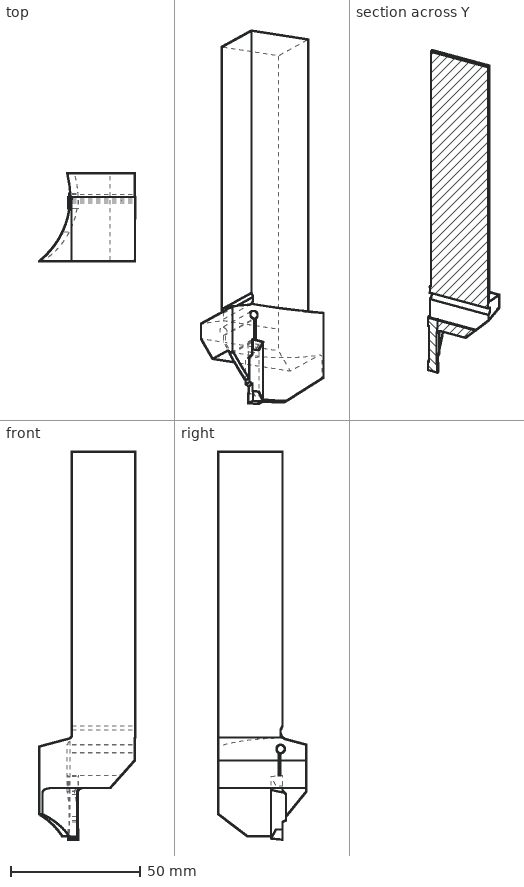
import cadquery as cq
import math

total_height = 150.0

shank_left = 12.6
shank_depth = 24.9
right_side = 37.0
shank_flare = 0.2

head_depth = 34.0
head_bottom = 20.0
roof_height = 39.5
roof_slope = math.tan(math.radians(15))
roof_fillet = 1.4
back_fillet = 2.7
right_chamfer_width = 9.6
right_chamfer_height = 10.8

undercut_depth = 0.8
undercut_top = 44.0
undercut_knee = 42.5

blade_vertex_y = 24.9
hollow_vertex_x = 12.0
arc_end_y = 32.2
flat_inset = 0.3
blade_front_thickness = 1.4
blade_vertex_thickness = 3.0
blade_bottom = 1.4
blade_fillet = 1.6
select_margin = 0.2
front_slope_depth = 11.2
front_slope_top = 9.9
back_slope_bottom = 9.0
back_slope_top = 18.6

hole_y = 24.2
hole_z = 35.1
hole_diameter = 3.2
slit_y = 23.7
slit_width = 0.8

insert_front = 20.4
insert_back = 24.9
insert_height = 24.9
insert_hump = 1.4
hump_back = insert_back + insert_hump
hump_bottom = 7.5
hump_top = 17.5
hump_ramp_low = 0.6
hump_ramp_high = 1.4
edge_left = 11.2
edge_right = 15.3
body_side_relief = 0.3
cutting_end_length = 4.0
cutting_end_depth = 2.5
end_relief = 0.5


def arc_radius(sagitta, half_chord):
    return (half_chord**2 + sagitta**2) / (2 * sagitta)


def arc_x(vertex_x, radius, y):
    """X of a blade side that bulges to vertex_x at blade_vertex_y."""
    return vertex_x - radius + math.sqrt(radius**2 - (y - blade_vertex_y) ** 2)


hollow_radius = arc_radius(hollow_vertex_x, blade_vertex_y)
flat_x = arc_x(hollow_vertex_x, hollow_radius, arc_end_y)
outer_vertex_x = hollow_vertex_x + blade_vertex_thickness
outer_radius = arc_radius(outer_vertex_x - blade_front_thickness, blade_vertex_y)
outer_back_x = arc_x(outer_vertex_x, outer_radius, head_depth)


def extrude_along_x(points, start, end):
    return cq.Workplane("YZ").workplane(offset=start).polyline(points).close().extrude(end - start)


def make_shank():
    outline = [
        (shank_left, 0),
        (right_side, 0),
        (right_side + shank_flare, shank_depth),
        (shank_left, shank_depth),
    ]
    shank = (
        cq.Workplane("XY").workplane(offset=roof_height).polyline(outline).close()
        .extrude(total_height - roof_height)
    )
    knee_y = shank_depth - undercut_depth
    undercut = [
        (shank_depth, undercut_top),
        (knee_y, undercut_knee),
        (knee_y, roof_height),
        (shank_depth, roof_height),
    ]
    return shank.cut(extrude_along_x(undercut, 0, right_side + shank_flare))


def make_head_block():
    """Head seen along Y, with a roof sloping to the left and another sloping to the back."""
    block = (
        cq.Workplane("XZ")
        .moveTo(0, head_bottom)
        .lineTo(right_side - right_chamfer_width, head_bottom)
        .lineTo(right_side, head_bottom + right_chamfer_height)
        .lineTo(right_side, roof_height)
        .lineTo(shank_left, roof_height)
        .lineTo(0, roof_height - shank_left * roof_slope)
        .close()
        .extrude(-head_depth)
    )
    back_roof_start = shank_depth - undercut_depth
    back_drop = (head_depth - back_roof_start) * roof_slope
    above_back_roof = [
        (back_roof_start, roof_height),
        (head_depth, roof_height),
        (head_depth, roof_height - back_drop),
    ]
    return block.cut(extrude_along_x(above_back_roof, 0, right_side))


def make_blade():
    return (
        cq.Workplane("XY")
        .lineTo(blade_front_thickness, 0)
        .threePointArc(
            (arc_x(outer_vertex_x, outer_radius, blade_vertex_y / 2), blade_vertex_y / 2),
            (outer_back_x, head_depth),
        )
        .lineTo(0, head_depth)
        .close()
        .extrude(head_bottom)
    )


def make_hollow():
    """Space left of the concave blade side, over the full height of the head."""
    return (
        cq.Workplane("XY")
        .threePointArc(
            (arc_x(hollow_vertex_x, hollow_radius, blade_vertex_y / 2), blade_vertex_y / 2),
            (flat_x, arc_end_y),
        )
        .lineTo(flat_x - flat_inset, head_depth)
        .lineTo(0, head_depth)
        .close()
        .extrude(roof_height)
    )


def make_side_outline():
    """Full-width prism that trims the lower end of the holder."""
    outline = [
        (0, total_height),
        (0, front_slope_top),
        (front_slope_depth, blade_bottom),
        (insert_front, blade_bottom),
        (insert_front, back_slope_bottom),
        (hump_back, back_slope_bottom),
        (head_depth, back_slope_top),
        (head_depth, total_height),
    ]
    return extrude_along_x(outline, 0, right_side + shank_flare)


def make_slit():
    hole = cq.Workplane("YZ").center(hole_y, hole_z).circle(hole_diameter / 2).extrude(right_side)
    slit_height = hole_z - insert_height
    slit = (
        cq.Workplane("YZ").center(slit_y, insert_height + slit_height / 2)
        .rect(slit_width, slit_height).extrude(right_side)
    )
    return hole.union(slit)


def make_insert():
    outline = [
        (insert_front, end_relief),
        (insert_back, 0),
        (insert_back, hump_bottom - hump_ramp_low),
        (hump_back, hump_bottom),
        (hump_back, hump_top),
        (insert_back, hump_top + hump_ramp_high),
        (insert_back, insert_height),
        (insert_front, insert_height - end_relief),
    ]
    insert = extrude_along_x(outline, edge_left + body_side_relief, edge_right - body_side_relief)

    shoulder_y = insert_back - cutting_end_depth
    lower_end = [
        (insert_back, 0),
        (insert_back, cutting_end_length),
        (shoulder_y, cutting_end_length),
        (insert_front, end_relief),
    ]
    upper_end = [(y, insert_height - z) for y, z in lower_end]
    for end in (lower_end, upper_end):
        insert = insert.union(extrude_along_x(end, edge_left, edge_right))
    return insert


def make_holder(insert):
    holder = make_head_block().union(make_blade())
    blade_root = cq.selectors.BoxSelector(
        (blade_front_thickness / 2, 0, head_bottom - select_margin),
        (outer_vertex_x + select_margin, head_depth, head_bottom + select_margin),
    )
    holder = holder.edges(blade_root).edges("%CIRCLE").fillet(blade_fillet)
    holder = holder.union(make_shank())
    corner_middle = (shank_left, shank_depth / 2, roof_height)
    holder = holder.edges(cq.selectors.NearestToPointSelector(corner_middle)).fillet(roof_fillet)
    back_corner_middle = ((shank_left + right_side) / 2, shank_depth - undercut_depth, roof_height)
    holder = holder.edges(cq.selectors.NearestToPointSelector(back_corner_middle)).fillet(back_fillet)
    holder = holder.cut(make_hollow()).intersect(make_side_outline())
    return holder.cut(make_slit()).cut(insert)


insert = make_insert()
holder = make_holder(insert)
result = cq.Compound.makeCompound([*holder.vals(), *insert.vals()])